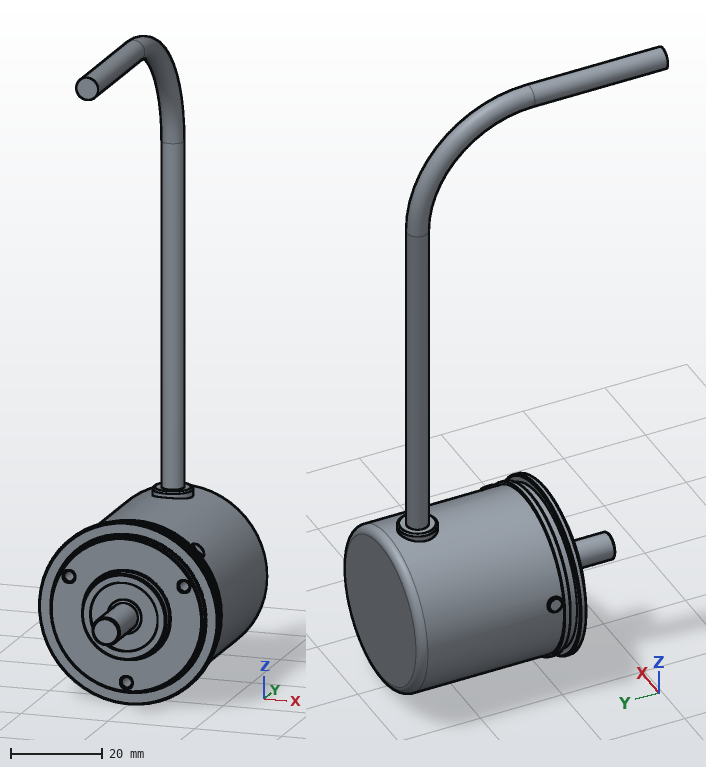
import cadquery as cq
import math


overall_length = 69.0
overall_height = 149.8

rear_y = 40.2
rim_rear_y = 5.0
rim_front_y = 3.5
flange_rear_y = 1.6
pilot_length = 1.3
boss_length = 1.8
pilot_front_y = -pilot_length
boss_front_y = pilot_front_y - boss_length

housing_radius = 19.3
rim_radius = 20.0
neck_radius = 19.0
flange_radius = 20.7
pilot_radius = 17.5
boss_radius = 9.7
rear_fillet = 2.0
rim_chamfer = 0.3
flange_chamfer = 0.3
pilot_chamfer = 0.3
boss_chamfer = 0.3

recess_radius = 7.8
recess_depth = 0.6
recess_floor_y = boss_front_y + recess_depth

undercut_width = 0.5
undercut_depth = 0.5

mount_hole_count = 3
mount_hole_radius = 1.2
mount_hole_chamfer = 0.3
mount_circle_radius = 15.3
mount_hole_depth = 6.0
first_mount_angle = 30

screw_angles = [45, 170]
screw_radius = 1.8
screw_chamfer = 0.3
screw_y = 7.0
screw_protrusion = 0.5

shaft_radius = 3.1
shaft_chamfer = 0.3
shaft_tip_y = -15.7
shaft_root_y = 7.5
collar_radius = 3.9
collar_height = 0.3
collar_front_y = recess_floor_y - collar_height

cable_radius = 2.5
cable_y = 31.2
cable_bend_radius = 27.4
cable_tip_y = rear_y - overall_length
cable_top_z = overall_height - flange_radius
cable_axis_top_z = cable_top_z - cable_radius
cable_root_z = 13.5
gland_radius = 4.5
gland_chamfer = 0.5
gland_top_z = 20.7


def disc(radius, front_y, back_y):
    """Round slice about the Y axis; extruding in XZ runs toward -Y, so it starts at the back."""
    return cq.Workplane("XZ", origin=(0, back_y, 0)).circle(radius).extrude(back_y - front_y)


def make_cable():
    """Round cable rising from the gland, bent forward through a quarter turn."""
    bend_end_y = cable_y - cable_bend_radius
    bend_start_z = cable_axis_top_z - cable_bend_radius
    bend_offset = cable_bend_radius * math.sqrt(0.5)
    path = (
        cq.Workplane("YZ")
        .moveTo(cable_y, cable_root_z)
        .lineTo(cable_y, bend_start_z)
        .threePointArc(
            (bend_end_y + bend_offset, bend_start_z + bend_offset),
            (bend_end_y, cable_axis_top_z),
        )
        .lineTo(cable_tip_y, cable_axis_top_z)
    )
    profile = cq.Workplane("XY", origin=(0, cable_y, cable_root_z)).circle(cable_radius)
    return profile.sweep(path)


def make_shaft():
    """Shaft whose thicker root stands as a low collar above the recess floor."""
    journal = disc(shaft_radius, shaft_tip_y, collar_front_y).faces("<Y").chamfer(shaft_chamfer)
    return journal.union(disc(collar_radius, collar_front_y, shaft_root_y))


def make_radial_screw(angle):
    """Screw head standing slightly proud of the housing, with a chamfered rim."""
    tip_radius = housing_radius + screw_protrusion
    root_radius = housing_radius - screw_radius
    head = (
        cq.Workplane("YZ", origin=(root_radius, screw_y, 0))
        .circle(screw_radius)
        .extrude(tip_radius - root_radius)
        .faces(">X")
        .chamfer(screw_chamfer)
    )
    return head.rotate((0, 0, 0), (0, 1, 0), -angle)


def make_undercut(inner_radius, face_y):
    """Ring-shaped groove in the face at face_y, around a foot of inner_radius."""
    groove = disc(inner_radius + undercut_width, face_y, face_y + undercut_depth)
    return groove.cut(disc(inner_radius, face_y, face_y + undercut_depth))


def make_mount_hole(angle):
    """Cutter for one blind hole with a chamfered mouth in the pilot face."""
    mouth_radius = mount_hole_radius + mount_hole_chamfer
    hole_end_y = pilot_front_y + mount_hole_depth
    cutter = (
        cq.Workplane("XY")
        .moveTo(0, pilot_front_y)
        .lineTo(mouth_radius, pilot_front_y)
        .lineTo(mount_hole_radius, pilot_front_y + mount_hole_chamfer)
        .lineTo(mount_hole_radius, hole_end_y)
        .lineTo(0, hole_end_y)
        .close()
        .revolve(360, (0, 0, 0), (0, 1, 0))
        .translate((mount_circle_radius, 0, 0))
    )
    return cutter.rotate((0, 0, 0), (0, 1, 0), -angle)


def make_gland():
    return (
        cq.Workplane("XY", origin=(0, cable_y, cable_root_z))
        .circle(gland_radius)
        .extrude(gland_top_z - cable_root_z)
        .faces(">Z")
        .chamfer(gland_chamfer)
    )


def make_turned_body():
    """Stack of coaxial discs from the rear cover to the front boss."""
    cover = disc(housing_radius, rim_rear_y, rear_y).faces(">Y").edges().fillet(rear_fillet)
    rim = disc(rim_radius, rim_front_y, rim_rear_y).faces("<Y").chamfer(rim_chamfer)
    neck = disc(neck_radius, flange_rear_y, rim_front_y)
    flange = disc(flange_radius, 0, flange_rear_y).faces("<Y or >Y").chamfer(flange_chamfer)
    pilot = disc(pilot_radius, pilot_front_y, 0).faces("<Y").chamfer(pilot_chamfer)
    boss = disc(boss_radius, boss_front_y, pilot_front_y).faces("<Y").chamfer(boss_chamfer)
    return cover.union(rim).union(neck).union(flange).union(pilot).union(boss)


def make_housing(shaft, cable):
    """Turned body with gland, holes and screws, bored to seat the shaft and the cable."""
    body = make_turned_body().union(make_gland())
    body = body.cut(disc(recess_radius, boss_front_y, recess_floor_y))
    body = body.cut(make_undercut(pilot_radius, 0))
    body = body.cut(make_undercut(boss_radius, pilot_front_y))

    for index in range(mount_hole_count):
        body = body.cut(make_mount_hole(first_mount_angle + index * 360 / mount_hole_count))

    for angle in screw_angles:
        body = body.union(make_radial_screw(angle))

    return body.cut(shaft).cut(cable)


shaft = make_shaft()
cable = make_cable()
housing = make_housing(shaft, cable)

result = cq.Compound.makeCompound([housing.val(), shaft.val(), cable.val()])